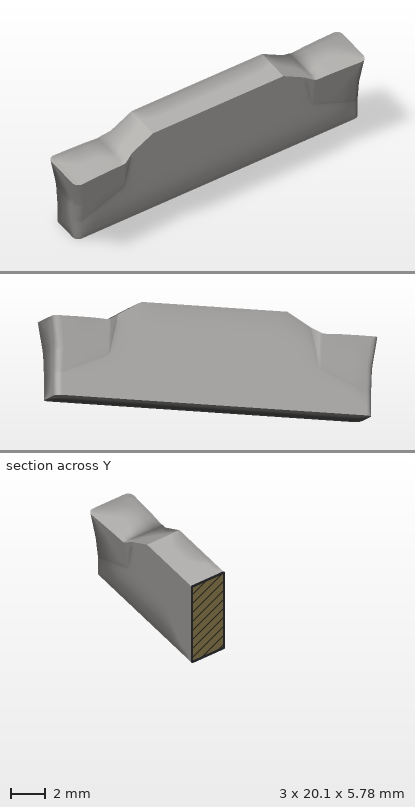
import cadquery as cq
import math

length = 20.1
head_width = 3.0
height = 5.78
edge_height = 4.62

blade_width = 2.28
base_length = 19.6
crown_length = 9.0
slope_angle = 29.5
corner_radius = 0.4

foot_top = 2.55
blend_top = 3.04

relief_outer_y, relief_outer_z = 9.39, 1.34
relief_inner_y, relief_inner_z = 6.5, 2.55

flare_meets_slope_y = 5.95
flare_round = 0.25

land_width = 0.07
rake_end = 0.26
rake_blend_end = 0.38
rise_end = 1.47
crest_end = 2.5
floor_start = 3.16
floor_end = 3.36
toe_end = 3.54
rake_angle = 4.0
rise_angle = 0.8

end_y = length / 2
crown_y = crown_length / 2
foot_y = base_length / 2
blade_half = blade_width / 2
slope_run = math.tan(math.radians(slope_angle))


def slope_height(y):
    return height - (y - crown_y) * slope_run


relief_y_run = relief_outer_y - relief_inner_y
relief_z_rise = relief_inner_z - relief_outer_z
widest_y = end_y - corner_radius
z_per_y = relief_y_run / relief_z_rise
y_taper = (head_width / 2 - blade_half) / (
    widest_y - relief_outer_y + z_per_y * (edge_height - relief_outer_z)
)
z_taper = y_taper * z_per_y


def relief_half_width(y, z):
    return blade_half + y_taper * (y - relief_outer_y) + z_taper * (z - relief_outer_z)


def top_profile():
    """Solid below the +Y half of the top surface, wider than the part."""
    rake_z = edge_height - (rake_end - land_width) * math.tan(math.radians(rake_angle))
    rise = math.tan(math.radians(rise_angle))
    rise_z = rake_z + (rise_end - rake_blend_end) * rise
    toe_z = slope_height(end_y - toe_end)
    toe_step = (toe_end - floor_end) / 3
    flat_top_z = toe_z - toe_step * math.tan(math.radians(slope_angle * 3 / 4))
    flat_foot_z = flat_top_z - toe_step * math.tan(math.radians(slope_angle / 2))
    floor_z = flat_foot_z - toe_step * math.tan(math.radians(slope_angle / 4))
    return (
        cq.Workplane("YZ")
        .moveTo(0, 0)
        .lineTo(end_y, 0)
        .lineTo(end_y, edge_height)
        .lineTo(end_y - land_width, edge_height)
        .lineTo(end_y - rake_end, rake_z)
        .tangentArcPoint((end_y - rake_blend_end, rake_z), relative=False)
        .lineTo(end_y - rise_end, rise_z)
        .tangentArcPoint((end_y - crest_end, rise_z), relative=False)
        .lineTo(end_y - floor_start, floor_z)
        .lineTo(end_y - floor_end, floor_z)
        .tangentArcPoint((end_y - floor_end - toe_step, flat_foot_z), relative=False)
        .lineTo(end_y - toe_end + toe_step, flat_top_z)
        .tangentArcPoint((end_y - toe_end, toe_z), relative=False)
        .lineTo(crown_y, height)
        .lineTo(0, height)
        .close()
        .extrude(head_width, both=True)
    )


def end_profile():
    """Solid inside the relieved +Y end face, wider than the part."""
    lean = 2 * math.atan((end_y - foot_y) / (blend_top - foot_top + 2 * (edge_height - blend_top)))
    blend_y = foot_y + (blend_top - foot_top) * math.tan(lean / 2)
    edge_run = (end_y - blend_y) / (edge_height - blend_top)
    return (
        cq.Workplane("YZ")
        .moveTo(0, relief_outer_z)
        .lineTo(foot_y, relief_outer_z)
        .lineTo(foot_y, foot_top)
        .tangentArcPoint((blend_y, blend_top), relative=False)
        .lineTo(blend_y + edge_run * (height - blend_top), height)
        .lineTo(0, height)
        .close()
        .extrude(head_width, both=True)
    )


def head_plan(z):
    """Plan outline of the head at height z, longer than the finished end."""
    neck_half = blade_half / 2
    slope_z = slope_height(flare_meets_slope_y)
    flare_run = (relief_inner_y - flare_meets_slope_y) / (
        relief_half_width(relief_inner_y, slope_z) - blade_half
    )
    outer_y = end_y + head_width
    inner_half = relief_half_width(relief_inner_y, z)
    outer_half = relief_half_width(outer_y, z)
    neck_y = relief_inner_y - (inner_half - neck_half) * flare_run
    right = [(neck_half, neck_y), (inner_half, relief_inner_y), (outer_half, outer_y)]
    left = [(-x, y) for x, y in reversed(right)]
    return cq.Wire.makePolygon([cq.Vector(x, y, z) for x, y in right + left], close=True)


def head():
    """Flared cutting head at the +Y end."""
    flared = cq.Workplane(
        cq.Solid.makeLoft([head_plan(relief_outer_z), head_plan(height)], ruled=True)
    )
    back_corners = cq.selectors.BoxSelector(
        (-head_width, relief_inner_y - flare_round, 0),
        (head_width, relief_inner_y + flare_round, height),
    )
    flared = flared.edges(back_corners).fillet(flare_round)
    relieved = flared.intersect(end_profile())
    end_corners = cq.selectors.BoxSelector(
        (-head_width, foot_y - corner_radius, relief_outer_z),
        (head_width, end_y + corner_radius, height),
    )
    corners = relieved.edges(end_corners).edges("not |X")
    return corners.fillet(corner_radius).intersect(top_profile())


def blade():
    """Plain blade with rounded ends at the foot and the sloped crown above."""
    foot = (
        cq.Workplane("XY")
        .box(blade_width, base_length, relief_outer_z, centered=(True, True, False))
        .edges("|Z")
        .fillet(corner_radius)
    )
    web = (
        cq.Workplane("XY")
        .workplane(offset=relief_outer_z)
        .box(blade_width, 2 * relief_outer_y, height, centered=(True, True, False))
    )
    half_outline = top_profile()
    outline = half_outline.union(half_outline.mirror("XZ"))
    web = web.intersect(outline)
    return foot.union(web)


rear_head = head()
result = blade().union(rear_head).union(rear_head.mirror("XZ")).clean()